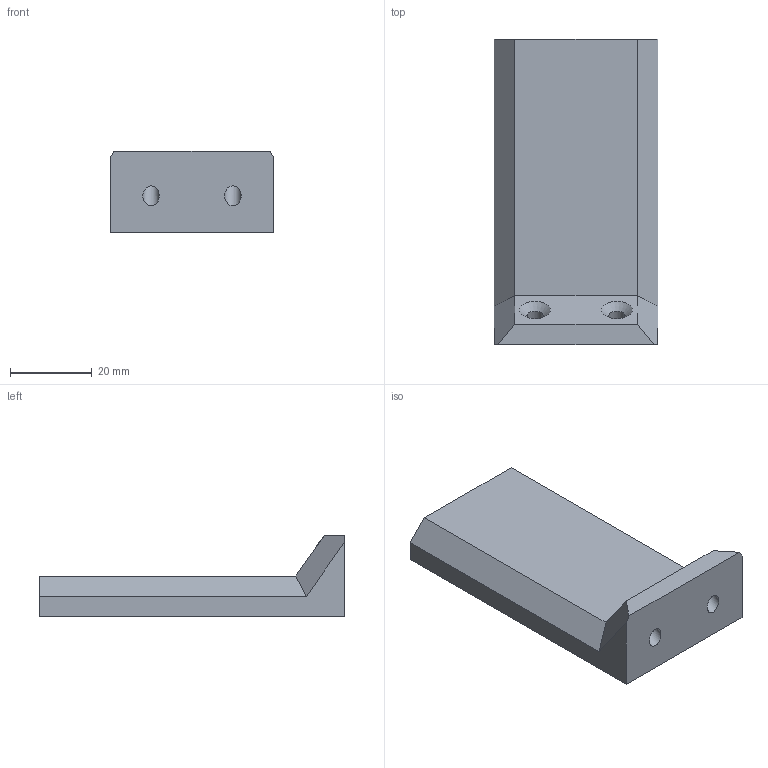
import cadquery as cq
import math

WIDTH = 40.0
LENGTH = 74.75
HEIGHT = 20.0

PLATE_THICKNESS = 10.0
BEVEL = 5.0
LIP_ANGLE = 55.0
LIP_TOP_DEPTH = 5.0

HOLE_SPACING = 20.0
HOLE_DIAMETER = 4.0
COUNTERSINK_DIAMETER = 7.5
COUNTERSINK_ANGLE = 90.0

SLOPE = math.radians(LIP_ANGLE)
LIP_RISE = HEIGHT - PLATE_THICKNESS
LIP_RUN = LIP_RISE / math.tan(SLOPE)
SLOPE_NORMAL = (0, math.sin(SLOPE), math.cos(SLOPE))
SLOPE_DOWNWARD = (0, math.cos(SLOPE), -math.sin(SLOPE))
SLOPE_MIDDLE = (0, LIP_TOP_DEPTH + LIP_RUN / 2, PLATE_THICKNESS + LIP_RISE / 2)

REACH = WIDTH + LENGTH + HEIGHT


def make_bevelled_bar(origin, direction, top_normal):
    """Long bar centred on origin, with its top face through origin and both top edges bevelled."""
    side = cq.Vector(*top_normal).cross(cq.Vector(*direction))
    section = cq.Plane(origin=origin, xDir=side.toTuple(), normal=direction)
    half = WIDTH / 2
    outline = [
        (-half, -REACH),
        (half, -REACH),
        (half, -BEVEL),
        (half - BEVEL, 0),
        (BEVEL - half, 0),
        (-half, -BEVEL),
    ]
    return cq.Workplane(section).polyline(outline).close().extrude(REACH, both=True)


def make_body():
    """Plate and lip share one bevelled section, so their bevels meet in a mitre at the lip's foot."""
    envelope = cq.Workplane("XY").box(WIDTH, LENGTH, HEIGHT, centered=(True, False, False))
    plate = make_bevelled_bar((0, 0, PLATE_THICKNESS), (0, 1, 0), (0, 0, 1))
    lip = make_bevelled_bar(SLOPE_MIDDLE, SLOPE_DOWNWARD, SLOPE_NORMAL)
    return envelope.intersect(plate.union(lip))


def cut_screw_holes(body):
    """Countersunk holes from the middle of the slope out through the front face."""
    slope_face = cq.Plane(origin=SLOPE_MIDDLE, xDir=(1, 0, 0), normal=SLOPE_NORMAL)
    centres = [(-HOLE_SPACING / 2, 0), (HOLE_SPACING / 2, 0)]
    positions = body.copyWorkplane(cq.Workplane(slope_face)).pushPoints(centres)
    return positions.cskHole(HOLE_DIAMETER, COUNTERSINK_DIAMETER, COUNTERSINK_ANGLE)


result = cut_screw_holes(make_body())